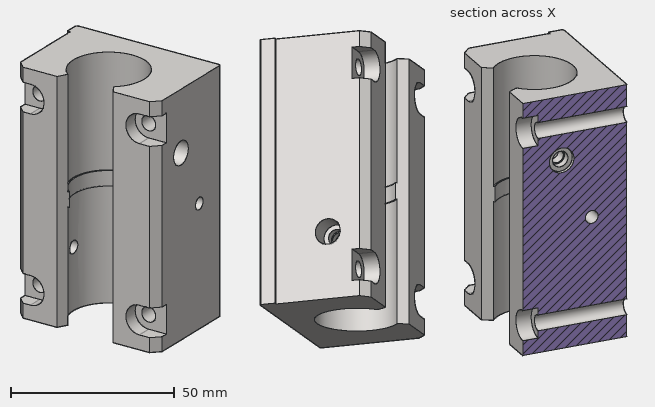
import cadquery as cq
import math

WIDTH = 53.0
DEPTH = 35.0
HEIGHT = 84.0
HALF_WIDTH = WIDTH / 2
FRONT_CHAMFER = 2.8
BACK_CHAMFER = 0.5

LEDGE_STEP = 1.0
LEDGE_DEPTH = 5.0
SIDE_X = -HALF_WIDTH + LEDGE_STEP

BORE_Y = 13.1
BORE_RADIUS = 13.0
BAND_RADIUS = 12.5
BAND_HEIGHT = 5.2

MOUTH_HALF_WIDTH = 10.25
MOUTH_HALF_ANGLE = 30.0

MOUNT_X = 20.0
MOUNT_END_DISTANCE = 10.0
MOUNT_DIAMETER = 5.1
SPOTFACE_RADIUS = 4.95
SPOTFACE_DEPTH = 5.1

SCREW_END_DISTANCE = 21.3
SCREW_HEAD_DIAMETER = 8.1
SCREW_HEAD_DEPTH = 7.6
SCREW_DIAMETER = 5.1
SCREW_DEPTH = 10.1
SCREW_TIP_DIAMETER = 4.4

LUBE_DIAMETER = 4.1
LUBE_OFFSET_Y = 10.1


def block():
    outline = [
        (SIDE_X + FRONT_CHAMFER, 0),
        (HALF_WIDTH - FRONT_CHAMFER, 0),
        (HALF_WIDTH, FRONT_CHAMFER),
        (HALF_WIDTH, DEPTH - BACK_CHAMFER),
        (HALF_WIDTH - BACK_CHAMFER, DEPTH),
        (-HALF_WIDTH + BACK_CHAMFER, DEPTH),
        (-HALF_WIDTH, DEPTH - BACK_CHAMFER),
        (-HALF_WIDTH, DEPTH - LEDGE_DEPTH),
        (SIDE_X, DEPTH - LEDGE_DEPTH),
        (SIDE_X, FRONT_CHAMFER),
    ]
    return cq.Workplane("XY").polyline(outline).close().extrude(HEIGHT)


def bore():
    """Full-height bore, relieved above and below the central band."""
    axis = cq.Workplane("XY").center(0, BORE_Y)
    relief_height = (HEIGHT - BAND_HEIGHT) / 2
    lower_relief = axis.circle(BORE_RADIUS).extrude(relief_height)
    upper_relief = lower_relief.translate((0, 0, HEIGHT - relief_height))
    return axis.circle(BAND_RADIUS).extrude(HEIGHT).union(lower_relief).union(upper_relief)


def mouth():
    """Opening that narrows from the front face to the bore centre plane."""
    reach = BORE_Y / 2
    inner_half_width = MOUTH_HALF_WIDTH - reach * math.tan(math.radians(MOUTH_HALF_ANGLE))
    outline = [
        (-MOUTH_HALF_WIDTH, 0),
        (MOUTH_HALF_WIDTH, 0),
        (inner_half_width, reach),
        (-inner_half_width, reach),
    ]
    return cq.Workplane("XY").polyline(outline).close().extrude(HEIGHT)


def mounting_hole(side, z):
    """Through hole along Y with a round-ended spotface open to one side (+1 or -1)."""
    x = side * MOUNT_X
    edge_x = HALF_WIDTH if side > 0 else SIDE_X
    hole = cq.Workplane("XZ").center(x, z).circle(MOUNT_DIAMETER / 2).extrude(-DEPTH)
    round_end = cq.Workplane("XZ").center(x, z).circle(SPOTFACE_RADIUS).extrude(-SPOTFACE_DEPTH)
    channel = (
        cq.Workplane("XZ")
        .center((x + edge_x) / 2, z)
        .rect(abs(edge_x - x), 2 * SPOTFACE_RADIUS)
        .extrude(-SPOTFACE_DEPTH)
    )
    return hole.union(round_end).union(channel)


def screw_hole(side, z):
    """Stepped hole from one side face (+1 or -1) into the bore."""
    face_x = HALF_WIDTH if side > 0 else SIDE_X
    steps = [
        (SCREW_HEAD_DIAMETER, SCREW_HEAD_DEPTH),
        (SCREW_DIAMETER, SCREW_DEPTH),
        (SCREW_TIP_DIAMETER, abs(face_x)),
    ]
    face = cq.Workplane("YZ", origin=(face_x, BORE_Y, z))
    cutter = cq.Workplane("XY")
    for diameter, depth in steps:
        cutter = cutter.union(face.circle(diameter / 2).extrude(-side * depth))
    return cutter


def lubrication_hole():
    start = (HALF_WIDTH, BORE_Y + LUBE_OFFSET_Y, HEIGHT / 2)
    return cq.Workplane("YZ", origin=start).circle(LUBE_DIAMETER / 2).extrude(-HALF_WIDTH)


result = block().cut(bore()).cut(mouth())
for mount_side in (-1, 1):
    for mount_z in (MOUNT_END_DISTANCE, HEIGHT - MOUNT_END_DISTANCE):
        result = result.cut(mounting_hole(mount_side, mount_z))
result = result.cut(screw_hole(-1, SCREW_END_DISTANCE))
result = result.cut(screw_hole(1, HEIGHT - SCREW_END_DISTANCE))
result = result.cut(lubrication_hole())